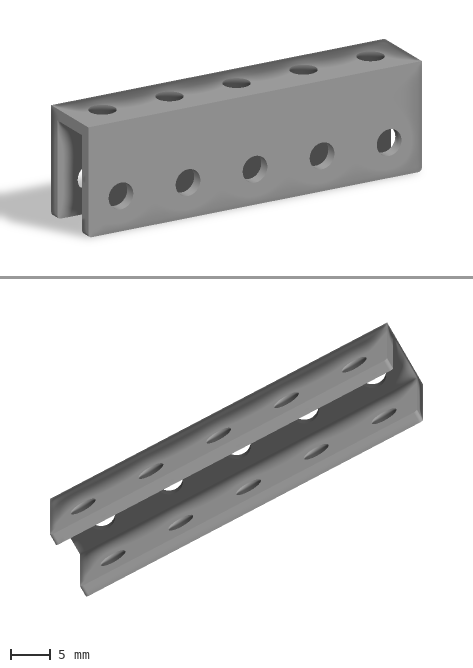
import cadquery as cq

length = 48.65
width = 9.4
height = 14.9
wall = 1.55

hole_count = 5
hole_pitch = 9.8
hole_diameter = 3.6
side_hole_height = 4.75

corner_radius = 0.5

hole_positions = [(i - (hole_count - 1) / 2) * hole_pitch for i in range(hole_count)]


def channel():
    """U-shaped channel along Y, standing on Z = 0, with rounded lower end corners."""
    block = (
        cq.Workplane("XY")
        .box(width, length, height, centered=(True, True, False))
        .edges("|X and <Z")
        .fillet(corner_radius)
    )
    slot = cq.Workplane("XY").box(
        width - 2 * wall, length, height - wall, centered=(True, True, False)
    )
    return block.cut(slot)


def top_holes():
    """Vertical drills through the web."""
    return (
        cq.Workplane("XY")
        .pushPoints([(0, y) for y in hole_positions])
        .circle(hole_diameter / 2)
        .extrude(height)
    )


def side_holes():
    """Crosswise drills through both flanges."""
    return (
        cq.Workplane("YZ")
        .pushPoints([(y, side_hole_height) for y in hole_positions])
        .circle(hole_diameter / 2)
        .extrude(width / 2, both=True)
    )


result = channel().cut(top_holes()).cut(side_holes())